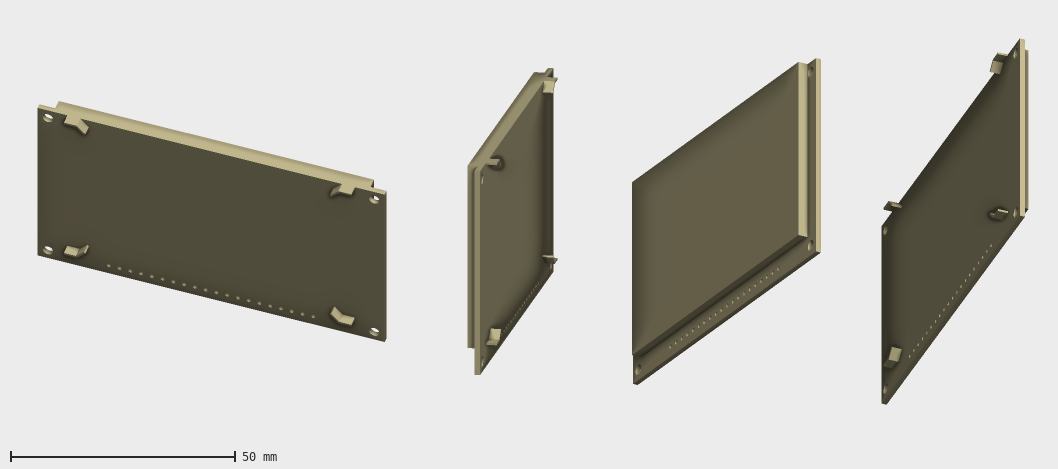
import cadquery as cq
import math

board_length = 82.0
board_height = 47.5
board_thickness = 1.2

housing_length = 74.45
housing_height = 42.5
housing_depth = 2.4

tab_projection = 2.4
tab_thickness = 0.5
tab_edge_inset = 7.05
tab_straight_length = 3.0
tab_leg_run = 2.05
tab_bend_angle = 45.0

mount_diameter = 2.5
mount_inset = 2.5
pin_diameter = 1.0
pin_count = 20
pin_pitch = 2.55
pin_inset = 2.5

board_top = board_height / 2
housing_center_z = board_top - housing_height / 2


def make_board():
    board = cq.Workplane("XY").box(board_length, board_thickness, board_height)
    mount_holes = (
        cq.Workplane("XZ")
        .rect(board_length - 2 * mount_inset, board_height - 2 * mount_inset, forConstruction=True)
        .vertices()
        .circle(mount_diameter / 2)
        .extrude(board_thickness, both=True)
    )
    pin_holes = (
        cq.Workplane("XZ")
        .center(0, pin_inset - board_top)
        .rarray(pin_pitch, 0.8, pin_count, 1)
        .circle(pin_diameter / 2)
        .extrude(board_thickness, both=True)
    )
    return board.cut(mount_holes).cut(pin_holes)


def make_housing():
    center_y = (board_thickness + housing_depth) / 2
    return (
        cq.Workplane("XY")
        .box(housing_length, housing_depth, housing_height)
        .translate((0, center_y, housing_center_z))
    )


def make_top_left_tab():
    """A flat strip along the top edge with a leg bent down towards the middle."""
    angle = math.radians(tab_bend_angle)
    start_x = tab_edge_inset - board_length / 2
    bend_x = start_x + tab_straight_length
    inner_bend_x = bend_x - tab_thickness * math.tan(angle / 2)
    inner_z = board_top - tab_thickness
    end_x = bend_x + tab_leg_run
    end_z = board_top - tab_leg_run * math.tan(angle)
    outline = [
        (start_x, board_top),
        (bend_x, board_top),
        (end_x, end_z),
        (end_x - tab_thickness * math.sin(angle), end_z - tab_thickness * math.cos(angle)),
        (inner_bend_x, inner_z),
        (start_x, inner_z),
    ]
    return (
        cq.Workplane("XZ", origin=(0, -board_thickness / 2, 0))
        .polyline(outline)
        .close()
        .extrude(tab_projection)
    )


def make_tabs():
    left_top = make_top_left_tab()
    left_tabs = left_top.add(left_top.mirror("XY", (0, 0, housing_center_z))).combine()
    return left_tabs.add(left_tabs.mirror("YZ")).combine()


result = make_board().union(make_housing())
result = result.union(make_tabs())